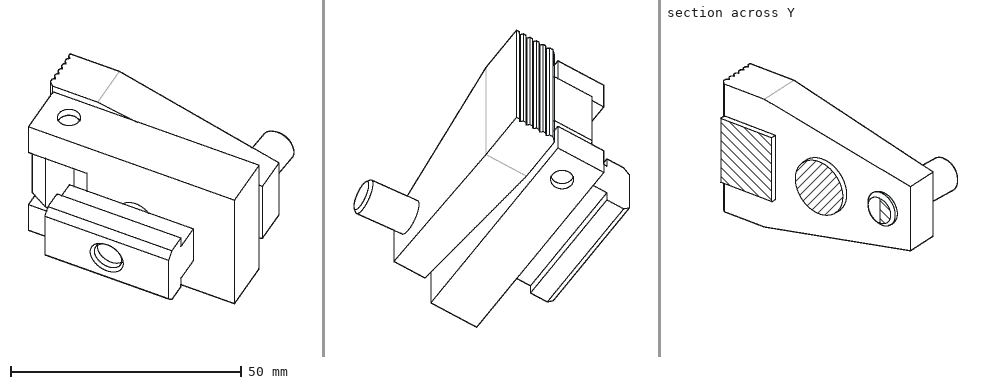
import cadquery as cq
import math


LENGTH = 52.0
HEIGHT = 32.0

BASE_LEFT = 1.9
BASE_DEPTH = 11.95
SLOT_HEIGHT = 16.05
SLOT_END = 16.1

JAW_FRONT = 13.45
JAW_BACK = 24.0
JAW_BACK_AT_RIGHT = 21.6
TAPER_START = 12.0
HEIGHT_AT_RIGHT = 16.05
JAW_CHAMFER = 1.05

GROOVE_COUNT = 5
GROOVE_PITCH = 1.7
GROOVE_MARGIN = 0.75
GROOVE_MOUTH = 1.05
GROOVE_FLOOR = 0.15
GROOVE_DEPTH = 0.5

LUG_LEFT = 1.05
LUG_RIGHT = 15.05
LUG_FRONT = 1.05
LUG_LEFT_BEVEL_X = 4.45
LUG_LEFT_BEVEL_Y = 2.6
LUG_RIGHT_BEVEL = 2.55

PIN_DIAMETER = 5.0
PIN_X = 8.55
PIN_Y = 6.5
PIN_RECESS = 0.5
DOME_HEIGHT = 1.4

BOLT_X = 28.0
SHANK_DIAMETER = 8.05
COLLAR_DIAMETER = 13.15
FOOT_LENGTH = 30.1
FOOT_BACK = -2.05
FOOT_STEP = -8.05
FOOT_FRONT = -14.0
NECK_HEIGHT = 9.85
FOOT_HEIGHT = 15.1
FOOT_CHAMFER = 1.55
BORE_DIAMETER = 6.65
BORE_DEPTH = 2.15
COUNTERSINK_DEPTH = 0.6

SCREW_DIAMETER = 8.0
SCREW_TIP_X = 44.3
SCREW_TILT = 4.4
SCREW_LENGTH = 21.9
SCREW_TIP_CHAMFER = 0.9
SCREW_END_CHAMFER = 0.7


def box(x_min, x_max, y_min, y_max, height):
    """Block spanning the given X and Y ranges, centred on Z = 0."""
    return (
        cq.Workplane("XY")
        .box(x_max - x_min, y_max - y_min, height, centered=(False, False, True))
        .translate((x_min, y_min, 0))
    )


def cylinder_along_y(diameter, x, y_min, y_max):
    """Cylinder parallel to Y, centred on Z = 0."""
    axis = cq.Vector(0, 1, 0)
    return cq.Workplane(
        cq.Solid.makeCylinder(diameter / 2, y_max - y_min, cq.Vector(x, y_min, 0), axis)
    )


def prism(points):
    """Prism over an XY outline, through the full height of the clamp."""
    return cq.Workplane("XY").polyline(points).close().extrude(HEIGHT / 2, both=True)


def make_hinge_pin():
    """Round pin along Z with a spherical dome on each end."""
    radius = PIN_DIAMETER / 2
    tip = HEIGHT / 2 - PIN_RECESS
    rim = tip - DOME_HEIGHT
    dome_radius = (radius**2 + DOME_HEIGHT**2) / (2 * DOME_HEIGHT)
    half_angle = math.asin(radius / dome_radius) / 2
    mid_x = dome_radius * math.sin(half_angle)
    mid_z = tip - dome_radius * (1 - math.cos(half_angle))
    return (
        cq.Workplane("XZ")
        .moveTo(0, -tip)
        .threePointArc((mid_x, -mid_z), (radius, -rim))
        .lineTo(radius, rim)
        .threePointArc((mid_x, mid_z), (0, tip))
        .close()
        .revolve(360, (0, 0, 0), (0, 1, 0))
        .translate((PIN_X, PIN_Y, 0))
    )


def pin_hole():
    """Through hole for the hinge pin."""
    return cq.Workplane("XY").center(PIN_X, PIN_Y).circle(PIN_DIAMETER / 2).extrude(HEIGHT / 2, both=True)


def make_thrust_screw():
    """Chamfered cylinder, turned about Z so that the rim of its tip rests on the base."""
    tip_radius = SCREW_DIAMETER / 2 - SCREW_TIP_CHAMFER
    tip_y = BASE_DEPTH + tip_radius * math.sin(math.radians(SCREW_TILT))
    return (
        cylinder_along_y(SCREW_DIAMETER, 0, 0, SCREW_LENGTH)
        .faces("<Y")
        .chamfer(SCREW_TIP_CHAMFER)
        .faces(">Y")
        .chamfer(SCREW_END_CHAMFER)
        .rotate((0, 0, 0), (0, 0, 1), -SCREW_TILT)
        .translate((SCREW_TIP_X, tip_y, 0))
    )


def make_clamping_bolt():
    """Collar and shank ending in a T-shaped foot with a countersunk blind bore."""
    foot_left = BOLT_X - FOOT_LENGTH / 2
    foot_right = BOLT_X + FOOT_LENGTH / 2
    neck = box(foot_left, foot_right, FOOT_STEP, FOOT_BACK, NECK_HEIGHT)
    foot = box(foot_left, foot_right, FOOT_FRONT, FOOT_STEP, FOOT_HEIGHT)
    foot = foot.faces("<Y").edges("|X").chamfer(FOOT_CHAMFER)

    shank = cylinder_along_y(SHANK_DIAMETER, BOLT_X, FOOT_BACK, BASE_DEPTH)
    collar = cylinder_along_y(COLLAR_DIAMETER, BOLT_X, BASE_DEPTH, JAW_FRONT)

    bore = cylinder_along_y(BORE_DIAMETER, BOLT_X, FOOT_FRONT, FOOT_FRONT + BORE_DEPTH)
    countersink = cq.Workplane(
        cq.Solid.makeCone(
            SHANK_DIAMETER / 2,
            BORE_DIAMETER / 2,
            COUNTERSINK_DEPTH,
            cq.Vector(BOLT_X, FOOT_FRONT, 0),
            cq.Vector(0, 1, 0),
        )
    )
    return foot.union(neck).union(shank).union(collar).cut(bore).cut(countersink)


def make_base():
    """Block with the lug slot, the hinge pin hole and the shank hole."""
    block = box(BASE_LEFT, LENGTH, 0, BASE_DEPTH, HEIGHT)
    slot = box(BASE_LEFT, SLOT_END, 0, BASE_DEPTH, SLOT_HEIGHT)
    shank_hole = cylinder_along_y(SHANK_DIAMETER, BOLT_X, 0, BASE_DEPTH)
    return block.cut(slot).cut(pin_hole()).cut(shank_hole)


def grip_groove(y_top):
    """Trapezoidal groove along Z whose upper edge lies at y_top."""
    flank = (GROOVE_MOUTH - GROOVE_FLOOR) / 2
    return prism([
        (0, y_top),
        (GROOVE_DEPTH, y_top - flank),
        (GROOVE_DEPTH, y_top - flank - GROOVE_FLOOR),
        (0, y_top - GROOVE_MOUTH),
    ])


def make_lug():
    """Bevelled tongue that fills the slot height and reaches the jaw."""
    outline = [
        (LUG_LEFT, JAW_FRONT),
        (LUG_LEFT, LUG_FRONT + LUG_LEFT_BEVEL_Y),
        (LUG_LEFT + LUG_LEFT_BEVEL_X, LUG_FRONT),
        (LUG_RIGHT - LUG_RIGHT_BEVEL, LUG_FRONT),
        (LUG_RIGHT, LUG_FRONT + LUG_RIGHT_BEVEL),
        (LUG_RIGHT, JAW_FRONT),
    ]
    return cq.Workplane("XY").polyline(outline).close().extrude(SLOT_HEIGHT / 2, both=True)


def taper_cutter():
    """Wedge that slopes the top of the jaw down towards its right end."""
    return (
        cq.Workplane("XZ")
        .polyline([
            (TAPER_START, HEIGHT / 2),
            (LENGTH, HEIGHT / 2),
            (LENGTH, HEIGHT_AT_RIGHT / 2),
        ])
        .close()
        .extrude(-JAW_BACK)
    )


def make_jaw(thrust_screw):
    """Grooved plate, tapered in depth and height, with the lug and the pin and screw holes."""
    jaw = prism([
        (JAW_CHAMFER, JAW_FRONT),
        (LENGTH, JAW_FRONT),
        (LENGTH, JAW_BACK_AT_RIGHT),
        (TAPER_START, JAW_BACK),
        (0, JAW_BACK),
        (0, JAW_FRONT + JAW_CHAMFER),
    ])
    top_wedge = taper_cutter()
    jaw = jaw.cut(top_wedge).cut(top_wedge.mirror("XY"))
    for index in range(GROOVE_COUNT):
        jaw = jaw.cut(grip_groove(JAW_BACK - GROOVE_MARGIN - index * GROOVE_PITCH))
    return jaw.union(make_lug()).cut(pin_hole()).cut(thrust_screw)


hinge_pin = make_hinge_pin()
thrust_screw = make_thrust_screw()
clamping_bolt = make_clamping_bolt()
base = make_base()
jaw = make_jaw(thrust_screw)

result = cq.Compound.makeCompound([
    base.val(),
    jaw.val(),
    hinge_pin.val(),
    thrust_screw.val(),
    clamping_bolt.val(),
])